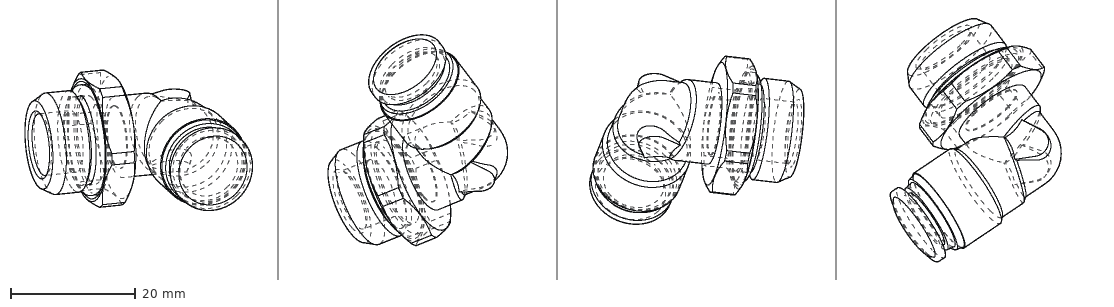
import cadquery as cq
import math


bend_radius = 6.0
collar_radius = 6.6
collar_start = 2.3
collar_tilt = 15
collar_chamfer = 0.65
collar_length = 8.95
collar_rim_fillet = 0.27

pad_height = 6.02
pad_round_radius = 2.5
pad_round_offset = 1.0
pad_edge_angle = 26.5
pad_edge_length = 3.5
pad_draft = 12
pad_depth = 2.0

sleeve_radius = 7.25
sleeve_start = 9.67
sleeve_end = 16.9
lip_start_radius = 7.05
lip_end_radius = 6.8
lip_end = 18.05
cap_start_radius = 6.2
cap_end_radius = 6.0
cap_end = 19.35
release_neck_radius = 5.02
release_neck_fillet = 0.47
flange_radius = 6.8
flange_start = 20.4
flange_end = 21.75
flange_rim_fillet = 0.2
dome_start_radius = 5.8
dome_end_radius = 4.48
dome_bulge = 0.117
arm_end = 22.4

hex_across_flats = 20.0
hex_corner_radius = 11.05
hex_face_radius = 9.95
hex_chamfer_angle = 30
hex_start = 9.13
hex_width = 5.05
hex_end = hex_start + hex_width
swivel_neck_radius = 5.1

stud_radius = 8.23
stud_neck_radius = 7.15
stud_neck_end = 15.75
stud_body_start = 16.35
stud_body_end = 20.35
stud_end = 22.28
bore_radius = 5.0
bore_chamfer = 0.5
bore_depth = 5.85

ring_section_radius = 0.9
ring_centre_radius = stud_neck_radius + ring_section_radius
ring_protrusion = 1.0
groove_depth = 2 * ring_section_radius - ring_protrusion
groove_mouth_radius = 9.5
groove_floor_radius = 8.95


def collar(axis_end):
    """Collar along +X, its near end cut by a slanted plane and chamfered."""
    shift = collar_radius * math.tan(math.radians(collar_tilt))
    outline = [
        (collar_start - shift, -collar_radius),
        (axis_end, -collar_radius),
        (axis_end, collar_radius),
        (collar_start + shift, collar_radius),
    ]
    slanted = cq.Workplane("XY").polyline(outline).close().extrude(collar_radius, both=True)
    bar = cq.Workplane("YZ").circle(collar_radius).extrude(2 * axis_end, both=True)
    return bar.intersect(slanted).faces("<X").edges().chamfer(collar_chamfer)


def stud_side(shape):
    """Turn a shape half round the X = -Y diagonal, from the tube arm (+X) onto the stud leg (-Y)."""
    return shape.rotate((0, 0, 0), (1, -1, 0), 180)


def bend():
    ball = cq.Workplane("XY").sphere(bend_radius)
    leg = cq.Workplane("YZ").circle(bend_radius).extrude(collar_length)
    stud_collar = stud_side(collar(collar_length).faces(">X").edges().fillet(collar_rim_fillet))
    return ball.union(leg).union(stud_side(leg)).union(collar(collar_length)).union(stud_collar)


def pad():
    """Flat teardrop pad on the +Z side, growing wider with depth by its draft."""
    angle = math.radians(pad_edge_angle)
    tangent_x = -pad_round_offset + pad_round_radius * math.sin(angle)
    tangent_y = pad_round_offset + pad_round_radius * math.cos(angle)
    end_x = tangent_x + pad_edge_length * math.cos(angle)
    end_y = tangent_y - pad_edge_length * math.sin(angle)
    tip = -pad_round_offset - pad_round_radius * math.sqrt(0.5)
    corner = collar_start
    return (
        cq.Workplane("XY", origin=(0, 0, pad_height))
        .moveTo(corner, -corner)
        .lineTo(end_x, end_y)
        .lineTo(tangent_x, tangent_y)
        .threePointArc((tip, -tip), (-tangent_y, -tangent_x))
        .lineTo(-end_y, -end_x)
        .close()
        .extrude(-pad_depth, taper=-pad_draft)
    )


def tube_arm():
    """Sleeve, cap and release button turned about the X axis."""
    neck_fillet_start = flange_start - release_neck_fillet
    dome_middle = (
        (flange_end + arm_end) / 2 + dome_bulge,
        (dome_start_radius + dome_end_radius) / 2 + dome_bulge,
    )
    return (
        cq.Workplane("XY")
        .moveTo(0, 0)
        .lineTo(0, bend_radius)
        .lineTo(collar_length, bend_radius)
        .lineTo(collar_length, collar_radius)
        .lineTo(sleeve_start, sleeve_radius)
        .lineTo(sleeve_end, sleeve_radius)
        .lineTo(sleeve_end, lip_start_radius)
        .lineTo(lip_end, lip_end_radius)
        .lineTo(lip_end, cap_start_radius)
        .lineTo(cap_end, cap_end_radius)
        .lineTo(cap_end, release_neck_radius)
        .lineTo(neck_fillet_start, release_neck_radius)
        .radiusArc((flange_start, release_neck_radius + release_neck_fillet), -release_neck_fillet)
        .lineTo(flange_start, flange_radius)
        .lineTo(flange_end - flange_rim_fillet, flange_radius)
        .radiusArc((flange_end, flange_radius - flange_rim_fillet), flange_rim_fillet)
        .lineTo(flange_end, dome_start_radius)
        .threePointArc(dome_middle, (arm_end, dome_end_radius))
        .lineTo(arm_end, 0)
        .close()
        .revolve(360, (0, 0, 0), (1, 0, 0))
    )


def turned_about_y(points):
    """Turn a closed outline of (radius, Y) points about the Y axis."""
    return cq.Workplane("XY").polyline(points).close().revolve(360, (0, 0, 0), (0, 1, 0))


def hexagon():
    """Hexagon with flats on +Z and -Z, rounded corners and both faces chamfered."""
    across_corners = hex_across_flats / math.cos(math.radians(30))
    prism = (
        cq.Workplane("XZ", origin=(0, -hex_start, 0))
        .polygon(6, across_corners)
        .extrude(hex_width)
    )
    chamfer_height = (hex_corner_radius - hex_face_radius) * math.tan(math.radians(hex_chamfer_angle))
    envelope = turned_about_y([
        (0, -hex_start),
        (hex_face_radius, -hex_start),
        (hex_corner_radius, -hex_start - chamfer_height),
        (hex_corner_radius, -hex_end + chamfer_height),
        (hex_face_radius, -hex_end),
        (0, -hex_end),
    ])
    return prism.intersect(envelope)


def ring_groove():
    return turned_about_y([
        (stud_neck_radius, -hex_end),
        (groove_mouth_radius, -hex_end),
        (groove_floor_radius, -hex_end + groove_depth),
        (stud_neck_radius, -hex_end + groove_depth),
    ])


def stud():
    return turned_about_y([
        (0, -hex_end),
        (stud_neck_radius, -hex_end),
        (stud_neck_radius, -stud_neck_end),
        (stud_radius, -stud_body_start),
        (stud_radius, -stud_body_end),
        (stud_neck_radius, -stud_end),
        (0, -stud_end),
    ])


def bore():
    return turned_about_y([
        (0, -stud_end),
        (bore_radius + bore_chamfer, -stud_end),
        (bore_radius, -stud_end + bore_chamfer),
        (bore_radius, -stud_end + bore_depth),
        (0, -stud_end + bore_depth),
    ])


def make_fitting():
    swivel_neck = cq.Workplane("XZ").circle(swivel_neck_radius).extrude(hex_start)
    upper_pad = pad()
    elbow = bend().union(upper_pad).union(upper_pad.mirror("XY")).union(tube_arm())
    lower = hexagon().cut(ring_groove()).union(stud())
    return elbow.union(swivel_neck).union(lower).cut(bore())


def make_seal_ring():
    ring_centre_y = -hex_end - ring_protrusion + ring_section_radius
    return (
        cq.Workplane("XY")
        .center(ring_centre_radius, ring_centre_y)
        .circle(ring_section_radius)
        .revolve(360, (-ring_centre_radius, 0, 0), (-ring_centre_radius, 1, 0))
    )


fitting = make_fitting()
seal_ring = make_seal_ring()

result = cq.Compound.makeCompound([fitting.solids().val(), seal_ring.solids().val()])